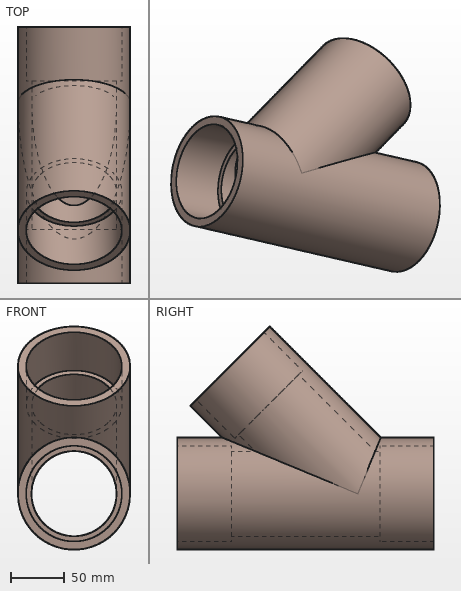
import cadquery as cq
import math

run_length = 242.0
outer_diameter = 106.0
socket_diameter = 90.3
bore_diameter = 80.0
socket_depth = 51.0
branch_length = 170.1
branch_angle = 45.0
junction_offset = 71.9

angle = math.radians(branch_angle)
run_direction = cq.Vector(0, 1, 0)
branch_direction = cq.Vector(0, -math.cos(angle), math.sin(angle))
origin = cq.Vector(0, 0, 0)
back_mouth = run_direction * junction_offset
front_mouth = run_direction * (junction_offset - run_length)
branch_mouth = branch_direction * branch_length


def cylinder(diameter, length, start, direction):
    """Solid cylinder from a start point along a direction."""
    return cq.Workplane(cq.Solid.makeCylinder(diameter / 2, length, start, direction))


def run_and_branch(diameter):
    """Straight run joined by the inclined branch, both of one diameter."""
    run = cylinder(diameter, run_length, front_mouth, run_direction)
    branch = cylinder(diameter, branch_length, origin, branch_direction)
    return run.union(branch)


result = run_and_branch(outer_diameter).cut(run_and_branch(bore_diameter))

sockets = [
    (front_mouth, run_direction),
    (back_mouth, run_direction * -1),
    (branch_mouth, branch_direction * -1),
]
for mouth, inward in sockets:
    result = result.cut(cylinder(socket_diameter, socket_depth, mouth, inward))